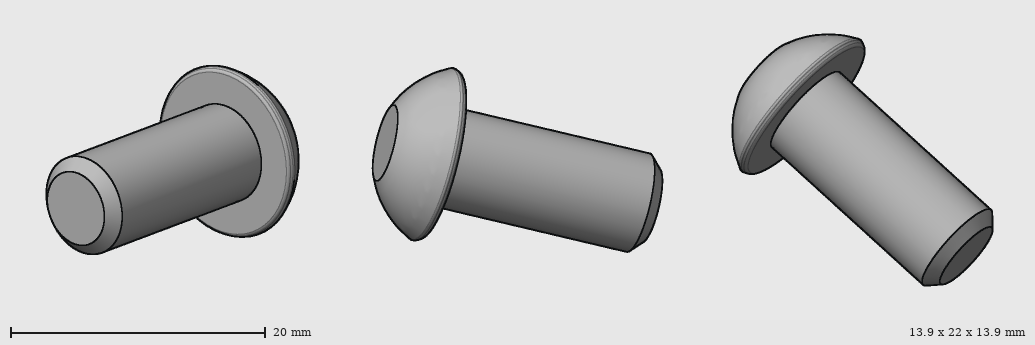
import cadquery as cq
import math

total_length = 22.0
head_height = 4.49
shank_diameter = 7.96
tip_chamfer = 1.0

crown_diameter = 6.12
bearing_diameter = 13.15
rim_height = 0.64
rim_edge_diameter = 13.82
dome_bulge = 0.48
rim_round_height = 0.25
bearing_round_height = 0.2
rim_cone_diameter = 13.84
bearing_cone_diameter = 13.66
rim_bulge = 0.05
bearing_bulge = 0.05

crown_radius = crown_diameter / 2
bearing_radius = bearing_diameter / 2
rim_edge_radius = rim_edge_diameter / 2
shank_radius = shank_diameter / 2
tip_radius = shank_radius - tip_chamfer

tip_y = -total_length / 2
crown_y = total_length / 2
bearing_y = crown_y - head_height
rim_edge_y = bearing_y + rim_height

rim_cone_radius = rim_cone_diameter / 2
rim_cone_y = rim_edge_y - rim_round_height
bearing_cone_radius = bearing_cone_diameter / 2
bearing_cone_y = bearing_y + bearing_round_height


def bulge_point(start, end, bulge):
    """Middle of an arc that swells to the right of the line from start to end."""
    run = end[0] - start[0]
    rise = end[1] - start[1]
    chord = math.hypot(run, rise)
    return (
        (start[0] + end[0]) / 2 + bulge * rise / chord,
        (start[1] + end[1]) / 2 - bulge * run / chord,
    )


bearing_edge = (bearing_radius, bearing_y)
bearing_cone_edge = (bearing_cone_radius, bearing_cone_y)
rim_cone_edge = (rim_cone_radius, rim_cone_y)
rim_edge = (rim_edge_radius, rim_edge_y)
crown_edge = (crown_radius, crown_y)

half_section = (
    cq.Workplane("XY")
    .moveTo(0, tip_y)
    .lineTo(tip_radius, tip_y)
    .lineTo(shank_radius, tip_y + tip_chamfer)
    .lineTo(shank_radius, bearing_y)
    .lineTo(*bearing_edge)
    .threePointArc(bulge_point(bearing_edge, bearing_cone_edge, bearing_bulge), bearing_cone_edge)
    .lineTo(*rim_cone_edge)
    .threePointArc(bulge_point(rim_cone_edge, rim_edge, rim_bulge), rim_edge)
    .threePointArc(bulge_point(rim_edge, crown_edge, dome_bulge), crown_edge)
    .lineTo(0, crown_y)
    .close()
)
result = half_section.revolve(360, (0, 0), (0, 1))